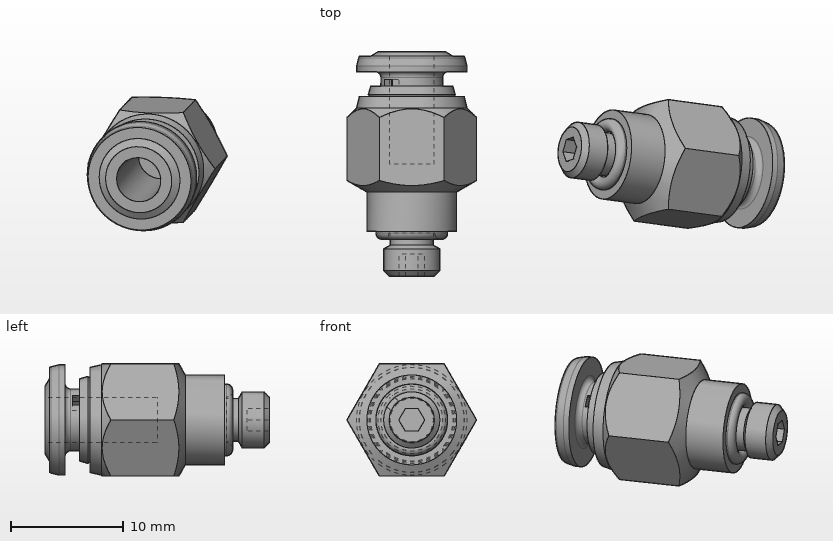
import cadquery as cq
import math

length = 20.0
hex_flats = 10.0
hex_corner_radius = hex_flats / math.sqrt(3)

stud_radius = 2.5
stud_chamfer = 0.5
stud_end = 2.45
neck_radius = 1.92
neck_start = 2.78

seal_outer_radius = 3.2
seal_section_radius = 0.58
seal_center_y = 3.85
seal_center_radius = seal_outer_radius - seal_section_radius

shoulder_radius = 4.0
shoulder_start = 4.0
hex_start = 7.5
hex_front_angle = 30.0
rim_base_radius = 4.92
rim_base_y = 14.98
rim_top_radius = 4.68
rim_top_y = 16.0

collar_base_radius = 3.75
collar_max_radius = 3.88
collar_max_y = 16.18
collar_top_radius = 3.65
collar_top_y = 16.92

sleeve_radius = 2.75
sleeve_fillet = 0.5
flange_start = 18.2
flange_radius = 4.92
flange_taper_y = 18.72
flange_top_radius = 4.75
flange_top_y = 19.45
flange_face_radius = 4.65
flange_face_y = 19.6
cap_base_radius = 3.65
cap_top_radius = 3.0

bore_radius = 2.0
bore_bottom_y = 10.0

slot_width = 1.08
slot_end = 17.52
slot_angle = 140.0

socket_flats = 2.0
socket_depth = 2.0


def hexagonal_prism(flats, start, end):
    """Prism along Y with two corners on the X axis."""
    corner_diameter = 2 * flats / math.sqrt(3)
    plane = cq.Workplane("XZ", origin=(0, start, 0))
    return plane.polygon(6, corner_diameter).extrude(start - end)


def make_seal():
    profile = cq.Workplane("XY").center(seal_center_radius, seal_center_y).circle(seal_section_radius)
    axis_start = (-seal_center_radius, 0, 0)
    axis_end = (-seal_center_radius, 1, 0)
    return profile.revolve(360, axis_start, axis_end)


def make_stud():
    profile = (
        cq.Workplane("XY")
        .lineTo(stud_radius - stud_chamfer, 0)
        .lineTo(stud_radius, stud_chamfer)
        .lineTo(stud_radius, stud_end)
        .lineTo(neck_radius, neck_start)
        .lineTo(neck_radius, seal_center_y)
        .lineTo(seal_center_radius, seal_center_y)
        .lineTo(seal_center_radius, hex_start)
        .lineTo(0, hex_start)
        .close()
    )
    return profile.revolve(360, (0, 0, 0), (0, 1, 0))


def make_body():
    front_rise = (hex_corner_radius - shoulder_radius) * math.tan(math.radians(hex_front_angle))
    rear_rise = hex_corner_radius - rim_base_radius
    blank = (
        cq.Workplane("XY")
        .moveTo(0, hex_start)
        .lineTo(shoulder_radius, hex_start)
        .lineTo(hex_corner_radius, hex_start + front_rise)
        .lineTo(hex_corner_radius, rim_base_y - rear_rise)
        .lineTo(rim_base_radius, rim_base_y)
        .lineTo(rim_top_radius, rim_top_y)
        .lineTo(0, rim_top_y)
        .close()
        .revolve(360, (0, 0, 0), (0, 1, 0))
    )
    shoulder = cq.Workplane("XZ", origin=(0, shoulder_start, 0)).circle(shoulder_radius)
    shoulder = shoulder.extrude(shoulder_start - hex_start)
    return blank.intersect(hexagonal_prism(hex_flats, hex_start, rim_top_y)).union(shoulder)


def make_release_sleeve():
    fillet_mid = sleeve_fillet * (1 - math.sqrt(0.5))
    profile = (
        cq.Workplane("XY")
        .moveTo(0, rim_top_y)
        .lineTo(sleeve_radius, rim_top_y)
        .lineTo(sleeve_radius, flange_start - sleeve_fillet)
        .threePointArc(
            (sleeve_radius + fillet_mid, flange_start - fillet_mid),
            (sleeve_radius + sleeve_fillet, flange_start),
        )
        .lineTo(flange_radius, flange_start)
        .lineTo(flange_radius, flange_taper_y)
        .lineTo(flange_top_radius, flange_top_y)
        .lineTo(flange_face_radius, flange_face_y)
        .lineTo(cap_base_radius, flange_face_y)
        .lineTo(cap_top_radius, length)
        .lineTo(0, length)
        .close()
    )
    sleeve = profile.revolve(360, (0, 0, 0), (0, 1, 0))
    slot_length = slot_end - collar_top_y
    slot = (
        cq.Workplane("XY")
        .box(sleeve_radius, slot_length, slot_width)
        .translate((sleeve_radius, collar_top_y + slot_length / 2, 0))
        .rotate((0, 0, 0), (0, 1, 0), -slot_angle)
    )
    return sleeve.cut(slot)


def make_collar():
    profile = (
        cq.Workplane("XY")
        .moveTo(0, rim_top_y)
        .lineTo(collar_base_radius, rim_top_y)
        .lineTo(collar_max_radius, collar_max_y)
        .lineTo(collar_top_radius, collar_top_y)
        .lineTo(0, collar_top_y)
        .close()
    )
    return profile.revolve(360, (0, 0, 0), (0, 1, 0))


def make_bore():
    plane = cq.Workplane("XZ", origin=(0, bore_bottom_y, 0))
    return plane.circle(bore_radius).extrude(bore_bottom_y - length)


socket = hexagonal_prism(socket_flats, 0, socket_depth)

result = (
    make_stud()
    .union(make_seal())
    .union(make_body())
    .union(make_collar())
    .union(make_release_sleeve())
    .cut(socket)
    .cut(make_bore())
)